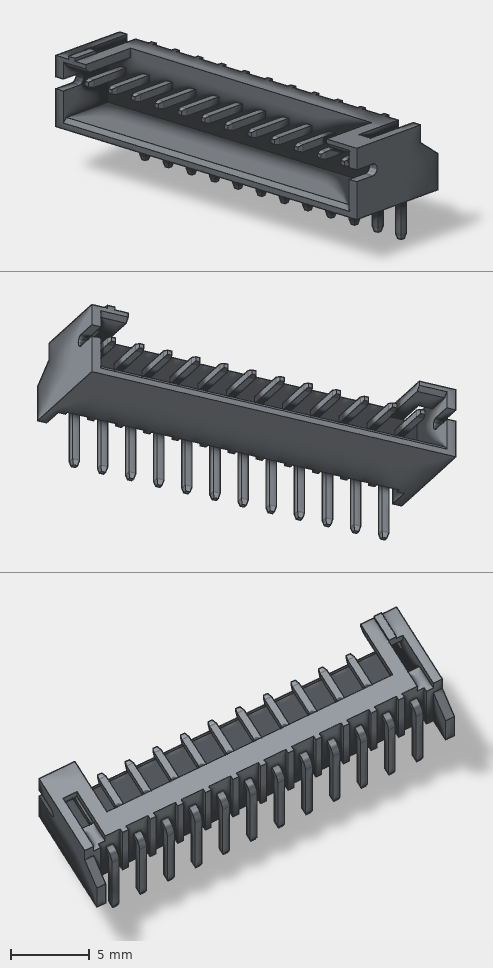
import cadquery as cq


pin_count = 12
pitch = 2.0
pin_size = 0.5
pin_axis_z = 3.12
pin_tip_y = 0.8
leg_axis_y = 6.27
leg_length = 3.4
tip_length = 0.37
tip_size = 0.3
bend_inner_radius = 0.25

end_margin = 1.95
housing_length = (pin_count - 1) * pitch + 2 * end_margin
housing_height = 4.8
housing_depth = 7.6
half_length = housing_length / 2
side_wall = 0.65
wall_slope_start_y = 6.0
wall_slope_top_z = 3.6
wall_slope_bottom_z = 2.45
rear_face_y = 5.7

cavity_depth = 4.2
floor_thickness = 0.7
roof_thickness = 0.6
lead_in = 0.3

window_end_margin = 2.6
roof_slot_width = 1.0
roof_slot_front_y = 2.0
latch_slot_height = 0.8
latch_slot_depth = 1.9
latch_slot_axis_z = 2.95

rib_width = 0.42
mark_height = 0.2
mark_width = 0.55

pin_positions = [(i - (pin_count - 1) / 2) * pitch for i in range(pin_count)]


def box_between(x_range, y_range, z_range):
    """Box given by its lower and upper limits along each axis."""
    size = [high - low for low, high in (x_range, y_range, z_range)]
    corner = (x_range[0], y_range[0], z_range[0])
    return cq.Workplane("XY").box(*size, centered=False).translate(corner)


def extrude_side_profile(profile, x_start, width):
    """Extrude a closed list of (y, z) points along +X."""
    return cq.Workplane("YZ", origin=(x_start, 0, 0)).polyline(profile).close().extrude(width)


def make_side_wall(x_start):
    """End wall running to the full depth, with a sloped upper rear corner."""
    profile = [
        (0, 0),
        (housing_depth, 0),
        (housing_depth, wall_slope_bottom_z),
        (wall_slope_start_y, wall_slope_top_z),
        (wall_slope_start_y, housing_height),
        (0, housing_height),
    ]
    return extrude_side_profile(profile, x_start, side_wall)


def make_cavity():
    """Mating cavity whose floor and roof flare outwards at the mouth."""
    floor_z = floor_thickness
    roof_z = housing_height - roof_thickness
    profile = [
        (0, floor_z - lead_in),
        (lead_in, floor_z),
        (cavity_depth, floor_z),
        (cavity_depth, roof_z),
        (lead_in, roof_z),
        (0, roof_z + lead_in),
    ]
    inner_half = half_length - side_wall
    return extrude_side_profile(profile, -inner_half, 2 * inner_half)


def make_roof_window():
    """Large opening in the roof, above the inner pins."""
    half_window = half_length - window_end_margin
    mid_z = housing_height / 2
    return box_between((-half_window, half_window), (0, cavity_depth), (mid_z, housing_height))


def make_roof_slot(side):
    """Slot in the roof beside an end wall, open to the rear."""
    near_wall = side * (half_length - side_wall)
    x_range = sorted((near_wall, near_wall - side * roof_slot_width))
    z_range = (housing_height - roof_thickness, housing_height)
    return box_between(x_range, (roof_slot_front_y, housing_depth), z_range)


def make_latch_slot():
    """Round-ended slot through both end walls, open at the mouth."""
    slot_length = 2 * latch_slot_depth
    return (
        cq.Workplane("YZ", origin=(-half_length, 0, latch_slot_axis_z))
        .slot2D(slot_length, latch_slot_height)
        .extrude(housing_length)
    )


def make_ribs():
    """Vertical ribs on the rear face, one between each pair of pins and one at each end."""
    rib_count = pin_count + 1
    ribs = cq.Workplane("XY")
    for i in range(rib_count):
        x = (i - (rib_count - 1) / 2) * pitch
        x_range = [x - rib_width / 2, x + rib_width / 2]
        if i == 0:
            x_range[0] = side_wall - half_length
        if i == rib_count - 1:
            x_range[1] = half_length - side_wall
        ribs = ribs.add(box_between(x_range, (cavity_depth, wall_slope_start_y), (0, housing_height)))
    return ribs.combine()


def make_mark():
    """Raised bar on the roof marking the first pin."""
    x_end = -half_length + side_wall + roof_slot_width
    z_range = (housing_height, housing_height + mark_height)
    return box_between((x_end - mark_width, x_end), (0, roof_slot_front_y), z_range)


def make_housing():
    inner_half = half_length - side_wall
    body = box_between((-inner_half, inner_half), (0, rear_face_y), (0, housing_height))
    body = body.union(make_side_wall(-half_length)).union(make_side_wall(inner_half))
    body = body.union(make_ribs())
    body = body.cut(make_cavity()).cut(make_roof_window()).cut(make_latch_slot())
    for side in (-1, 1):
        body = body.cut(make_roof_slot(side))
    return body.union(make_mark())


def make_tip(plane):
    """Tapered pin end, growing along the plane normal."""
    return (
        cq.Workplane(plane)
        .rect(pin_size, pin_size)
        .workplane(offset=tip_length)
        .rect(tip_size, tip_size)
        .loft(ruled=True)
    )


def make_pin(x):
    """Square pin bent down at the rear, tapered at both ends."""
    half = pin_size / 2
    shank_start_y = pin_tip_y + tip_length
    shank_end_z = tip_length - leg_length
    outer_y = leg_axis_y + half
    top_z = pin_axis_z + half
    x_range = (x - half, x + half)
    contact = box_between(x_range, (shank_start_y, outer_y), (pin_axis_z - half, top_z))
    leg = box_between(x_range, (leg_axis_y - half, outer_y), (shank_end_z, top_z))
    outer_corner = cq.selectors.NearestToPointSelector((x, outer_y, top_z))
    inner_corner = cq.selectors.NearestToPointSelector((x, outer_y - pin_size, top_z - pin_size))
    bent = contact.union(leg)
    bent = bent.edges(inner_corner).fillet(bend_inner_radius)
    bent = bent.edges(outer_corner).fillet(bend_inner_radius + pin_size)
    contact_end = cq.Plane(origin=(x, shank_start_y, pin_axis_z), xDir=(1, 0, 0), normal=(0, -1, 0))
    leg_end = cq.Plane(origin=(x, leg_axis_y, shank_end_z), xDir=(1, 0, 0), normal=(0, 0, -1))
    return bent.union(make_tip(contact_end)).union(make_tip(leg_end))


result = make_housing()
for pin_x in pin_positions:
    result = result.union(make_pin(pin_x))